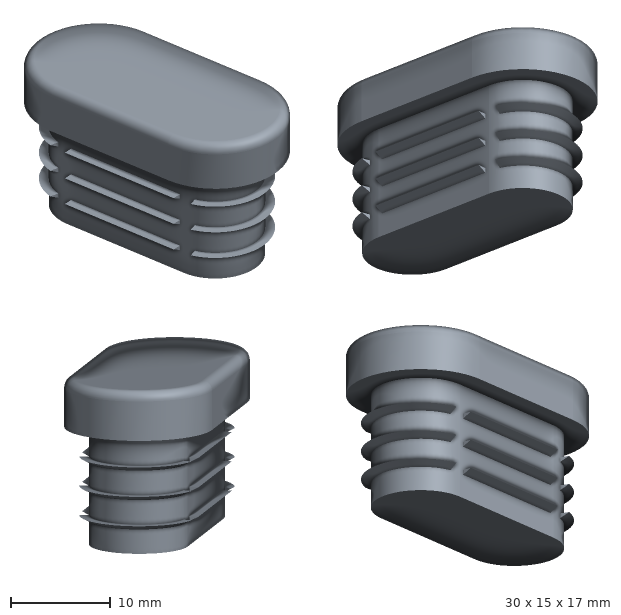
import cadquery as cq

cap_length = 30.0
cap_width = 15.0
cap_height = 5.0
cap_edge_radius = 1.0

stem_inset = 2.5
stem_length = cap_length - 2 * stem_inset
stem_width = cap_width - 2 * stem_inset
stem_height = 12.0
stem_radius = stem_width / 2
arc_center_x = (stem_length - stem_width) / 2

fin_reach = 1.0
fin_thickness = 0.5
fin_root_overlap = 0.3
fin_pitch = 3.0
fin_count = 3
side_fin_length = 14.0
end_fin_angle = 150.0


def obround(length, width, height):
    return cq.Workplane("XY").slot2D(length, width).extrude(height)


def fin_profile(plane, root, top):
    """Triangular fin section, with a tab that runs into the stem wall."""
    return (
        plane.moveTo(root - fin_root_overlap, top)
        .lineTo(root + fin_reach, top)
        .lineTo(root, top - fin_thickness)
        .lineTo(root - fin_root_overlap, top - fin_thickness)
        .close()
    )


def side_fin(top):
    """Straight fin on the +Y flat of the stem."""
    plane = cq.Workplane("YZ", origin=(-side_fin_length / 2, 0, 0))
    return fin_profile(plane, stem_radius, top).extrude(side_fin_length)


def end_fin(top):
    """Curved fin around the +X end, with radial end faces."""
    fin = fin_profile(cq.Workplane("XZ"), stem_radius, top).revolve(end_fin_angle, (0, 0), (0, 1))
    centered_fin = fin.rotate((0, 0, 0), (0, 0, 1), -end_fin_angle / 2)
    return centered_fin.translate((arc_center_x, 0, 0))


cap = obround(cap_length, cap_width, cap_height).faces(">Z").edges().fillet(cap_edge_radius)
result = obround(stem_length, stem_width, stem_height).union(cap.translate((0, 0, stem_height)))

for level in range(1, fin_count + 1):
    fin_top = stem_height - level * fin_pitch
    for fin, mirror_plane in ((side_fin(fin_top), "XZ"), (end_fin(fin_top), "YZ")):
        result = result.union(fin).union(fin.mirror(mirror_plane))